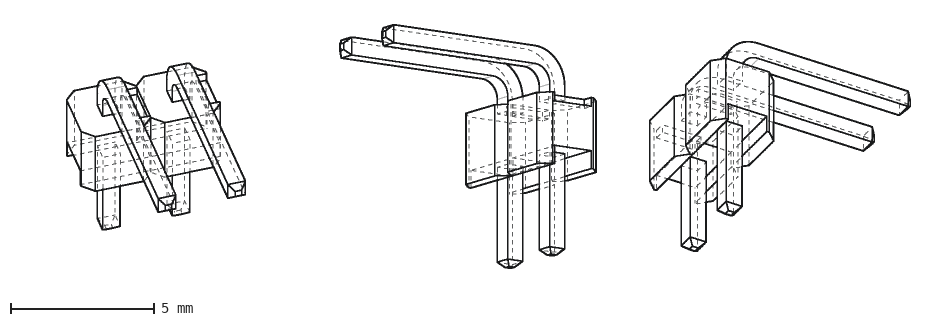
import cadquery as cq

positions = 2
row_length = 5.08
pitch = row_length / positions

corner_chamfer = 0.4
channel_width = 1.55
channel_height = 0.64
recess_depth_y = 0.405
recess_depth_z = 0.31

overall_length = 8.45
overall_height = 7.3
pin_width = 0.64
inner_bend_radius = 0.64
pin_rise = 1.81
tip_length = 0.2
tip_width = 0.24

outer_bend_radius = inner_bend_radius + pin_width
pin_left = -pin_width / 2
bend_x = pin_left + outer_bend_radius
pin_top = pitch + pin_rise
bend_z = pin_top - outer_bend_radius
shank_end_x = overall_length - pitch / 2 - tip_length
shank_end_z = pin_top - overall_height + tip_length


def make_block():
    """Cube with chamfered upright edges, a channel below and a recess above."""
    block = (
        cq.Workplane("XY")
        .box(pitch, pitch, pitch, centered=(True, True, False))
        .edges("|Z")
        .chamfer(corner_chamfer)
    )
    channel = cq.Workplane("XY").box(channel_width, pitch, channel_height, centered=(True, True, False))
    recess = (
        cq.Workplane("XY")
        .box(channel_width, recess_depth_y, recess_depth_z)
        .translate((0, (pitch - recess_depth_y) / 2, pitch - recess_depth_z / 2))
    )
    return block.cut(channel).cut(recess)


def make_tip(end_plane):
    """Tapered square point built outward from the end of a leg."""
    return (
        cq.Workplane(end_plane)
        .rect(pin_width, pin_width)
        .workplane(offset=tip_length)
        .rect(tip_width, tip_width)
        .loft(ruled=True)
    )


def make_pin():
    """Square pin swept from the vertical leg through a right-angle bend to the +X leg."""
    path = (
        cq.Workplane("XZ")
        .moveTo(0, shank_end_z)
        .lineTo(0, bend_z)
        .radiusArc((bend_x, pin_top - pin_width / 2), bend_x)
        .lineTo(shank_end_x, pin_top - pin_width / 2)
    )
    shank = cq.Workplane("XY", origin=(0, 0, shank_end_z)).rect(pin_width, pin_width).sweep(path)
    lower_end = cq.Plane(origin=(0, 0, shank_end_z), xDir=(1, 0, 0), normal=(0, 0, -1))
    outer_end = cq.Plane(origin=(shank_end_x, 0, pin_top - pin_width / 2), xDir=(0, 1, 0), normal=(1, 0, 0))
    return shank.union(make_tip(lower_end)).union(make_tip(outer_end))


def make_header_position(index):
    """One complete position, placed in the row along Y."""
    row_y = (index - (positions - 1) / 2) * pitch
    return make_block().union(make_pin()).translate((0, row_y, 0))


header_positions = [make_header_position(index).val() for index in range(positions)]
result = cq.Compound.makeCompound([solid for body in header_positions for solid in body.Solids()])